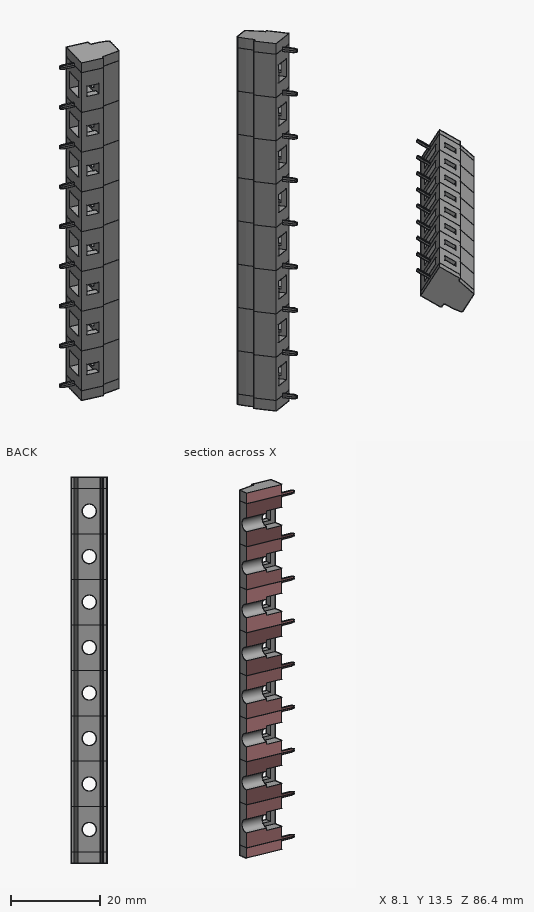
import cadquery as cq

total_length = 86.4
module_count = 8
cap_length = 2.5
module_length = (total_length - 2 * cap_length) / module_count

width = 8.1
overall_depth = 13.5
pin_length = 3.45
body_depth = overall_depth - pin_length
shoulder_depth = 5.4
shoulder_chamfer = 0.2
root_chamfer = 0.3
left_shoulder_width = 1.1
left_wall_depth = 7.6
left_lean_inset = 1.4
left_back_inset = 1.6
back_bevel_depth = 0.35
right_shoulder_width = 0.6
right_back_inset = 1.55

pocket_width = 4.8
pocket_height = 4.2
pocket_depth = 4.3
hole_diameter = 3.1
window_front = 1.4
window_depth = pocket_depth - window_front
window_height = 2.6


pin_thickness = 0.5
pin_height = 1.1
pin_taper_length = 0.8
pin_taper_inset = 0.2

pin_face_y = -body_depth / 2
back_y = body_depth / 2
left_x = -width / 2
right_x = width / 2


def housing_block(bottom_z, length):
    """Plain length of the stepped housing profile."""
    shoulder_y = pin_face_y + shoulder_depth
    outline = [
        (left_x, pin_face_y),
        (right_x, pin_face_y),
        (right_x, shoulder_y),
        (right_x - right_shoulder_width, shoulder_y),
        (right_x - right_back_inset, back_y),
        (left_x + left_back_inset, back_y),
        (left_x + left_lean_inset, back_y - back_bevel_depth),
        (left_x + left_shoulder_width, pin_face_y + left_wall_depth),
        (left_x + left_shoulder_width, shoulder_y + root_chamfer),
        (left_x + left_shoulder_width - root_chamfer, shoulder_y),
        (left_x + shoulder_chamfer, shoulder_y),
        (left_x, shoulder_y - shoulder_chamfer),
    ]
    return cq.Workplane("XY").workplane(offset=bottom_z).polyline(outline).close().extrude(length)


def half_pin(joint_z, direction):
    """Half of a tapered pin, reaching from the joint up (+1) or down (-1)."""
    tip_y = pin_face_y - pin_length
    outer_z = joint_z + direction * pin_height / 2
    tip_z = outer_z - direction * pin_taper_inset
    outline = [
        (pin_face_y, joint_z),
        (pin_face_y, outer_z),
        (tip_y + pin_taper_length, outer_z),
        (tip_y, tip_z),
        (tip_y, joint_z),
    ]
    return cq.Workplane("YZ").polyline(outline).close().extrude(pin_thickness / 2, both=True)


def screw_opening(center_z):
    """Rectangular pocket in the pin face, leading into a round hole through to the back."""
    pin_face = cq.Workplane("XZ", origin=(0, pin_face_y, center_z))
    pocket = pin_face.rect(pocket_width, pocket_height).extrude(-pocket_depth)
    hole = pin_face.circle(hole_diameter / 2).extrude(-body_depth)
    return pocket.union(hole)


def wire_window(center_z):
    """Rectangular window through the right wall of the pocket."""
    window = cq.Workplane("XY").box(right_x, window_depth, window_height, centered=(False, False, True))
    return window.translate((0, pin_face_y + window_front, center_z))


def contact_module(bottom_z):
    """Middle body with a screw opening and half a pin at each end."""
    top_z = bottom_z + module_length
    center_z = bottom_z + module_length / 2
    block = housing_block(bottom_z, module_length)
    block = block.cut(screw_opening(center_z)).cut(wire_window(center_z))
    return block.union(half_pin(bottom_z, 0.9)).union(half_pin(top_z, -0.9))


def end_cap(bottom_z, joint_z, pin_direction):
    """Short closing body with half a pin at the joint to its neighbouring module."""
    return housing_block(bottom_z, cap_length).union(half_pin(joint_z, pin_direction))


first_joint_z = -total_length / 2 + cap_length
last_joint_z = total_length / 2 - cap_length

lower_cap = end_cap(-total_length / 2, first_joint_z, -0.9)
modules = [contact_module(first_joint_z + i * module_length) for i in range(module_count)]
upper_cap = end_cap(last_joint_z, last_joint_z, 0.9)

result = cq.Compound.makeCompound(
    [lower_cap.val(), *[module.val() for module in modules], upper_cap.val()]
)